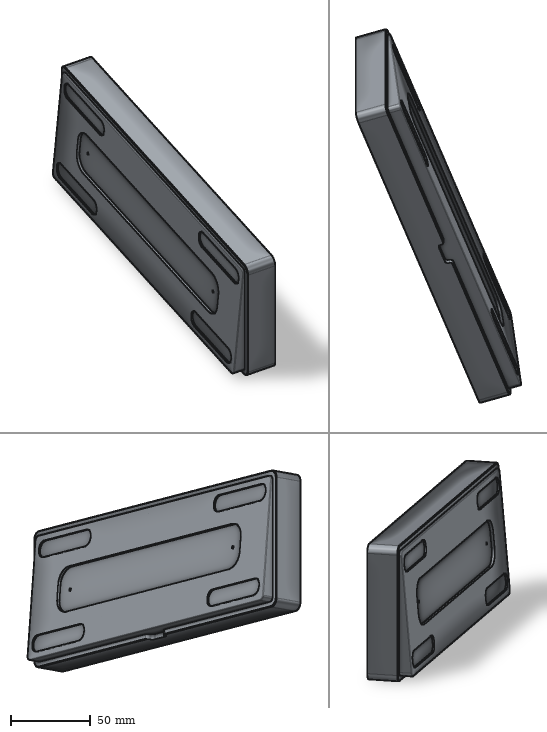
import cadquery as cq
import math

length = 239.0
height = 88.0
depth = 28.5
body_depth = 20.0
body_corner_radius = 5.0
front_edge_chamfer = 0.5

rim_width = 3.3
tilt_angle = 5.0
wedge_corner_radius = 2.9
wedge_edge_fillet = 0.5

pocket_length = 180.2
pocket_height = 29.9
pocket_corner_radius = 10.0
pocket_depth = 2.03
hole_diameter = 1.6
hole_depth = 2.0
pocket_hole_spacing = 160.4

recess_length = 51.1
recess_height = 11.0
recess_corner_radius = 5.0
recess_depth = 1.2
recess_center_x = 86.3
recess_center_z = 30.8

notch_mid_width = 15.0
notch_flank_radius = 2.2

back_y = depth / 2
front_y = back_y - body_depth
wedge_length = length - 2 * rim_width
wedge_height = height - 2 * rim_width
wedge_bottom_z = -wedge_height / 2
tilt = math.radians(tilt_angle)
sharp_edge_excess = wedge_edge_fillet * (math.tan(tilt) + 1 / math.cos(tilt) - 1)
sharp_tip_y = -depth / 2 - sharp_edge_excess


def slanted_face_y(z):
    """Y of the slanted wedge face at height z."""
    return sharp_tip_y + (z - wedge_bottom_z) * math.tan(tilt)


def rounded_block(size_x, size_z, corner_radius, y_start, y_end):
    """Block along Y, centered on X and Z, with rounded corners."""
    return (
        cq.Workplane("XZ", origin=(0, y_end, 0))
        .rect(size_x, size_z)
        .extrude(y_end - y_start)
        .edges("|Y")
        .fillet(corner_radius)
    )


def face_plane(x, z):
    """Workplane on the slanted face, with its normal pointing out of the part."""
    normal = (0, -math.cos(tilt), math.sin(tilt))
    return cq.Workplane(cq.Plane(origin=(x, slanted_face_y(z), z), xDir=(1, 0, 0), normal=normal))


def face_recess(x, z, size_x, size_z, corner_radius, cut_depth):
    """Rounded rectangular cutter, square to the slanted face."""
    outline = cq.Sketch().rect(size_x, size_z).vertices().fillet(corner_radius)
    return face_plane(x, z).placeSketch(outline).extrude(-cut_depth)


def face_hole(x, z, bottom_depth):
    """Round cutter, square to the slanted face."""
    return face_plane(x, z).circle(hole_diameter / 2).extrude(-bottom_depth)


def make_body():
    body = rounded_block(length, height, body_corner_radius, front_y, back_y)
    return body.faces("<Y").edges().chamfer(front_edge_chamfer)


def make_wedge():
    block = rounded_block(wedge_length, wedge_height, wedge_corner_radius, sharp_tip_y, front_y)
    top_z = wedge_height / 2
    side_profile = (
        cq.Workplane("YZ", origin=(-length / 2, 0, 0))
        .moveTo(sharp_tip_y, wedge_bottom_z)
        .lineTo(slanted_face_y(top_z), top_z)
        .lineTo(front_y, top_z)
        .lineTo(front_y, wedge_bottom_z)
        .close()
        .extrude(length)
    )
    return block.intersect(side_profile).faces("<Y").edges().fillet(wedge_edge_fillet)


def make_notch():
    """Cutter under the wedge; each flank is a convex and a concave quarter round."""
    radius = notch_flank_radius
    mid_x = notch_mid_width / 2
    outer_x = mid_x + radius
    floor_x = mid_x - radius
    mid_y = front_y + radius
    floor_y = front_y + 2 * radius
    arc = radius * math.sqrt(0.5)
    return (
        cq.Workplane("XY", origin=(0, 0, -height / 2))
        .moveTo(-outer_x, front_y)
        .threePointArc((-outer_x + arc, mid_y - arc), (-mid_x, mid_y))
        .threePointArc((-floor_x - arc, mid_y + arc), (-floor_x, floor_y))
        .lineTo(floor_x, floor_y)
        .threePointArc((floor_x + arc, mid_y + arc), (mid_x, mid_y))
        .threePointArc((outer_x - arc, mid_y - arc), (outer_x, front_y))
        .close()
        .extrude(rim_width)
    )


result = make_body().union(make_wedge())
result = result.cut(make_notch())
result = result.cut(face_recess(0, 0, pocket_length, pocket_height, pocket_corner_radius, pocket_depth))

foot_size = (recess_length, recess_height, recess_corner_radius, recess_depth)
for side in (-1, 1):
    result = result.cut(face_hole(side * pocket_hole_spacing / 2, 0, pocket_depth + hole_depth))
    for end in (-1, 1):
        result = result.cut(face_recess(side * recess_center_x, end * recess_center_z, *foot_size))